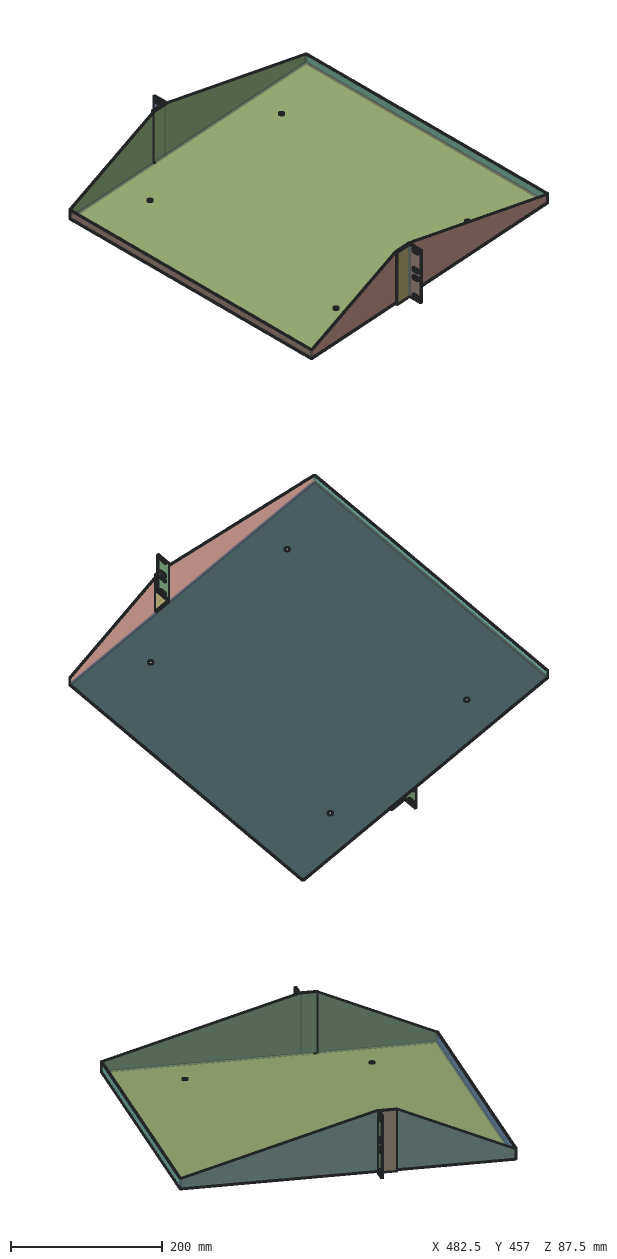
import cadquery as cq

overall_width = 482.5
tray_depth = 457.0
height = 87.5

tray_width = 438.0
sheet = 1.2
bend_radius = 2.0
lip_height = 16.0
tray_hole_diameter = 6.5
tray_hole_spacing_x = 336.0
tray_hole_spacing_y = 254.0

bracket_sheet = 2.5
bracket_inside_radius = 1.5
flange_back = -39.5
leg_depth = 26.0
slot_length = 11.5
slot_width = 6.8
slot_x = 232.5
slot_pitches = (76.3, 13.0)

peak_back = flange_back
peak_front = flange_back - leg_depth


def side_profile(width):
    """Side outline of the tray, extruded to the given width about X = 0."""
    half_depth = tray_depth / 2
    return (
        cq.Workplane("YZ")
        .moveTo(-half_depth, 0)
        .lineTo(half_depth, 0)
        .lineTo(half_depth, lip_height)
        .lineTo(half_depth - bend_radius, lip_height)
        .lineTo(peak_back, height)
        .lineTo(peak_front, height)
        .lineTo(bend_radius - half_depth, lip_height)
        .lineTo(-half_depth, lip_height)
        .close()
        .extrude(width / 2, both=True)
    )


def rounded_block(inset):
    """Block with rounded upright corners and bottom edges, inset from the outside of the tray."""
    block = (
        cq.Workplane("XY")
        .workplane(offset=inset)
        .rect(tray_width - 2 * inset, tray_depth - 2 * inset)
        .extrude(height)
    )
    radius = bend_radius - inset
    return block.edges("|Z").fillet(radius).faces("<Z").edges().fillet(radius)


def make_tray():
    """Folded sheet tray with low front and back lips and peaked side walls."""
    shell = rounded_block(0).cut(rounded_block(sheet))
    tray = shell.intersect(side_profile(tray_width))
    holes = (
        cq.Workplane("XY")
        .rarray(tray_hole_spacing_x, tray_hole_spacing_y, 2, 2)
        .circle(tray_hole_diameter / 2)
        .extrude(sheet)
    )
    return tray.cut(holes)


def make_bracket(side):
    """Angle bracket on the outside of a side wall; side is -1 for left, +1 for right."""
    wall = side * tray_width / 2
    leg_outside = wall + side * bracket_sheet
    flange_end = side * overall_width / 2
    flange_front = flange_back - bracket_sheet
    outside_radius = bracket_inside_radius + bracket_sheet

    bracket = (
        cq.Workplane("XY")
        .moveTo(wall, peak_front)
        .lineTo(wall, flange_back)
        .lineTo(flange_end, flange_back)
        .lineTo(flange_end, flange_front)
        .lineTo(leg_outside, flange_front)
        .lineTo(leg_outside, peak_front)
        .close()
        .extrude(height)
    )
    at_bend_back = cq.selectors.NearestToPointSelector((wall, flange_back, height / 2))
    bracket = bracket.edges("|Z").edges(at_bend_back).fillet(outside_radius)
    at_bend_front = cq.selectors.NearestToPointSelector((leg_outside, flange_front, height / 2))
    bracket = bracket.edges("|Z").edges(at_bend_front).fillet(bracket_inside_radius)

    for pitch in slot_pitches:
        slots = (
            cq.Workplane("XZ", origin=(side * slot_x, flange_back, height / 2))
            .rarray(5, pitch, 1, 2)
            .slot2D(slot_length, slot_width)
            .extrude(bracket_sheet)
        )
        bracket = bracket.cut(slots)
    return bracket


tray = make_tray()
brackets = [make_bracket(side) for side in (-1, 1)]

result = cq.Compound.makeCompound([tray.val(), *[bracket.val() for bracket in brackets]])